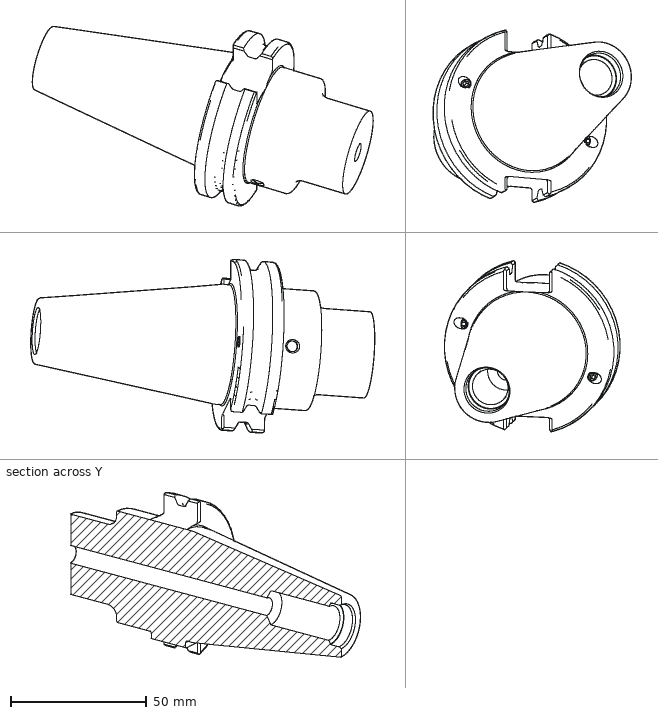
import cadquery as cq
import math


total_length = 124.2
taper_length = 68.3
flange_start = 71.3
flange_end = 87.3
collar_end = 103.3

taper_ratio = 7 / 24
shank_radius = 22.2
taper_tip_radius = shank_radius - taper_length * taper_ratio / 2
flange_radius = 31.7
nose_radius = 16.0

edge_round = 0.7
flange_root_round = 0.5
nose_root_round = 4.0

groove_mid = (flange_start + flange_end) / 2
groove_mouth = 7.2
groove_floor_radius = 28.2
groove_flank_angle = 30
groove_depth = flange_radius - groove_floor_radius
groove_floor = groove_mouth - 2 * groove_depth * math.tan(math.radians(groove_flank_angle))
groove_round = 1.2

mouth_flare = 0.5
counterbore_radius = 8.2
counterbore_depth = 5.0
counterbore_ledge = 0.2
thread_radius = 6.7
thread_end = 32.3
through_radius = 3.42
cone_slope = math.tan(math.radians(30))

slot_width = 16.2
top_slot_floor = shank_radius
bottom_slot_floor = 25.0
slot_corner_round = 0.7
rim_chamfer = 0.7
lead_in_width = 1.1
lead_in_depth = 0.7

screw_angles = (20, 200)
screw_pitch_radius = 27.0
screw_slope = 40
screw_radius = 2.0
screw_length = 4.0
screw_sink = 1.5
socket_across_flats = 2.0
socket_depth = 1.9
screw_chamfer = 0.4

ball_angle = 200
ball_station = 92.5
ball_radius = 2.0
ball_sink = 1.9
ball_hole_chamfer = 0.6


def revolve_outline(corners):
    """Revolve an outline of (x, radius, rounding) corners about the X axis."""
    steps = []
    for i, (x, r, rounding) in enumerate(corners):
        here = cq.Vector(x, r)
        to_last = (cq.Vector(*corners[i - 1][:2]) - here).normalized()
        to_next = (cq.Vector(*corners[(i + 1) % len(corners)][:2]) - here).normalized()
        if rounding == 0:
            steps.append((here,))
            continue
        half_angle = to_last.getAngle(to_next) / 2
        bisector = (to_last + to_next).normalized()
        tangent_length = rounding / math.tan(half_angle)
        arc_mid = here + bisector * (rounding / math.sin(half_angle) - rounding)
        steps.append((here + to_last * tangent_length, arc_mid, here + to_next * tangent_length))

    outline = cq.Workplane("XZ").moveTo(*steps[0][-1].toTuple()[:2])
    for step in steps[1:]:
        outline = outline.lineTo(*step[0].toTuple()[:2])
        if len(step) == 3:
            outline = outline.threePointArc(step[1].toTuple()[:2], step[2].toTuple()[:2])
    return outline.close().revolve(360, (0, 0), (1, 0))


def make_blank():
    return revolve_outline([
        (0, 0, 0),
        (0, taper_tip_radius, edge_round),
        (taper_length, shank_radius, 0),
        (flange_start, shank_radius, flange_root_round),
        (flange_start, flange_radius, edge_round),
        (groove_mid - groove_mouth / 2, flange_radius, 0),
        (groove_mid - groove_floor / 2, groove_floor_radius, groove_round),
        (groove_mid + groove_floor / 2, groove_floor_radius, groove_round),
        (groove_mid + groove_mouth / 2, flange_radius, 0),
        (flange_end, flange_radius, edge_round),
        (flange_end, shank_radius, flange_root_round),
        (collar_end, shank_radius, edge_round),
        (collar_end, nose_radius, nose_root_round),
        (total_length, nose_radius, 0),
        (total_length, 0, 0),
    ])


def make_bore():
    counterbore_cone = (counterbore_radius - counterbore_ledge - thread_radius) * cone_slope
    thread_cone = (thread_radius - through_radius) * cone_slope
    return revolve_outline([
        (0, 0, 0),
        (0, counterbore_radius + mouth_flare, 0),
        (2 * mouth_flare, counterbore_radius, 0),
        (counterbore_depth, counterbore_radius, 0),
        (counterbore_depth, counterbore_radius - counterbore_ledge, 0),
        (counterbore_depth + counterbore_cone, thread_radius, 0),
        (thread_end, thread_radius, 0),
        (thread_end + thread_cone, through_radius, 0),
        (total_length, through_radius, 0),
        (total_length, 0, 0),
    ])


def make_slot_cutter(floor):
    """Cutter for a drive slot on the +Z side, with its floor at the given height."""
    half = slot_width / 2
    start = flange_start - flange_root_round
    length = flange_end + flange_root_round - start
    height = flange_radius - floor
    channel = (
        cq.Workplane("XY", origin=(start, 0, floor))
        .rect(length, slot_width).extrude(height)
        .translate((length / 2, 0, 0))
        .edges("<Z and |X").fillet(slot_corner_round)
    )

    rim_half = half + rim_chamfer
    rim_height = math.sqrt(flange_radius**2 - rim_half**2)
    flare_half = rim_half + flange_radius - rim_height
    rim_flare = (
        cq.Workplane("YZ", origin=(start, 0, 0))
        .moveTo(half, rim_height - rim_chamfer)
        .lineTo(flare_half, flange_radius)
        .lineTo(-flare_half, flange_radius)
        .lineTo(-half, rim_height - rim_chamfer)
        .close().extrude(length)
    )

    lead_in = (
        cq.Workplane("XY", origin=(0, 0, floor))
        .moveTo(flange_start, -half - lead_in_width)
        .lineTo(flange_start, half + lead_in_width)
        .lineTo(flange_start + lead_in_depth, half)
        .lineTo(flange_start + lead_in_depth, -half)
        .close().extrude(height)
        .edges("<Z and (not |Y)").fillet(slot_corner_round)
    )
    return channel.union(rim_flare).union(lead_in)


def turn(shape, angle):
    return shape.rotate((0, 0, 0), (1, 0, 0), angle)


def screw_plane():
    """Plane at the mouth of a sloping hole, its normal pointing out of the hole."""
    slope = math.radians(screw_slope)
    return cq.Plane(
        origin=(flange_start, screw_pitch_radius, 0),
        xDir=(0, 0, 1),
        normal=(-math.cos(slope), math.sin(slope), 0),
    )


def make_screw_hole():
    overrun = flange_radius - screw_pitch_radius
    depth = screw_sink + screw_length
    return (
        cq.Workplane(screw_plane()).workplane(offset=-depth)
        .circle(screw_radius).extrude(depth + overrun)
    )


def make_set_screw():
    outer_end = cq.selectors.DirectionMinMaxSelector(screw_plane().zDir)
    socket_diameter = socket_across_flats / math.cos(math.pi / 6)
    return (
        cq.Workplane(screw_plane()).workplane(offset=-screw_sink)
        .circle(screw_radius).extrude(-screw_length)
        .faces(outer_end).chamfer(screw_chamfer)
        .faces(outer_end).workplane()
        .polygon(6, socket_diameter).cutBlind(-socket_depth)
    )


def make_ball_hole():
    """Flat-bottomed radial hole with a chamfered mouth, on the +Y side."""
    bottom = shank_radius - ball_sink - ball_radius
    mouth = shank_radius + ball_hole_chamfer
    hole = (
        cq.Workplane("XZ", origin=(ball_station, mouth, 0))
        .circle(ball_radius).extrude(mouth - bottom)
    )
    chamfer_depth = 2 * ball_hole_chamfer
    chamfer = cq.Workplane(cq.Solid.makeCone(
        ball_radius, ball_radius + chamfer_depth, chamfer_depth,
        cq.Vector(ball_station, mouth - chamfer_depth, 0), cq.Vector(0, 1, 0),
    ))
    return hole.union(chamfer)


def make_sealing_ball():
    return cq.Workplane(origin=(ball_station, shank_radius - ball_sink, 0)).sphere(ball_radius)


def make_holder():
    holder = make_blank().cut(make_bore())
    holder = holder.cut(make_slot_cutter(top_slot_floor))
    holder = holder.cut(turn(make_slot_cutter(bottom_slot_floor), 180))
    for angle in screw_angles:
        holder = holder.cut(turn(make_screw_hole(), angle))
    return holder.cut(turn(make_ball_hole(), ball_angle))


holder = make_holder()
set_screws = [turn(make_set_screw(), angle) for angle in screw_angles]
sealing_ball = turn(make_sealing_ball(), ball_angle)

result = cq.Compound.makeCompound([
    holder.val(),
    *[screw.val() for screw in set_screws],
    sealing_ball.val(),
])